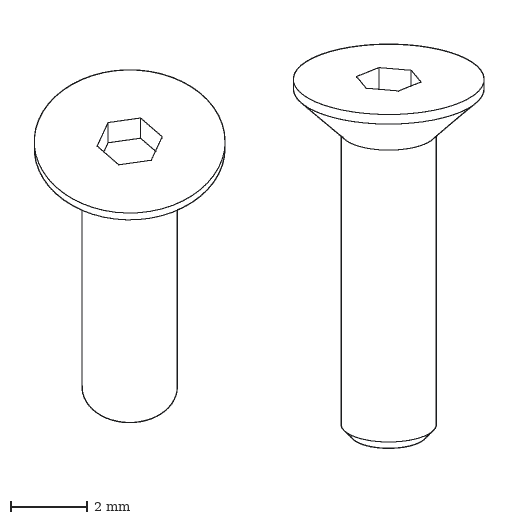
import cadquery as cq
import math

length = 10.0
head_diameter = 5.0
shank_diameter = 2.5
head_height = 1.5
rim_height = 0.27
tip_chamfer_height = 0.28
tip_diameter = 2.0
socket_across_flats = 1.5
socket_depth = 0.8

head_radius = head_diameter / 2
shank_radius = shank_diameter / 2
tip_radius = tip_diameter / 2

body = (
    cq.Workplane("XZ")
    .moveTo(0, 0)
    .lineTo(tip_radius, 0)
    .lineTo(shank_radius, tip_chamfer_height)
    .lineTo(shank_radius, length - head_height)
    .lineTo(head_radius, length - rim_height)
    .lineTo(head_radius, length)
    .lineTo(0, length)
    .close()
    .revolve(360, (0, 0, 0), (0, 1, 0))
)

socket_across_corners = socket_across_flats / math.cos(math.radians(30))
socket = (
    cq.Workplane("XY")
    .workplane(offset=length - socket_depth)
    .polygon(6, socket_across_corners)
    .extrude(socket_depth)
)

result = body.cut(socket)